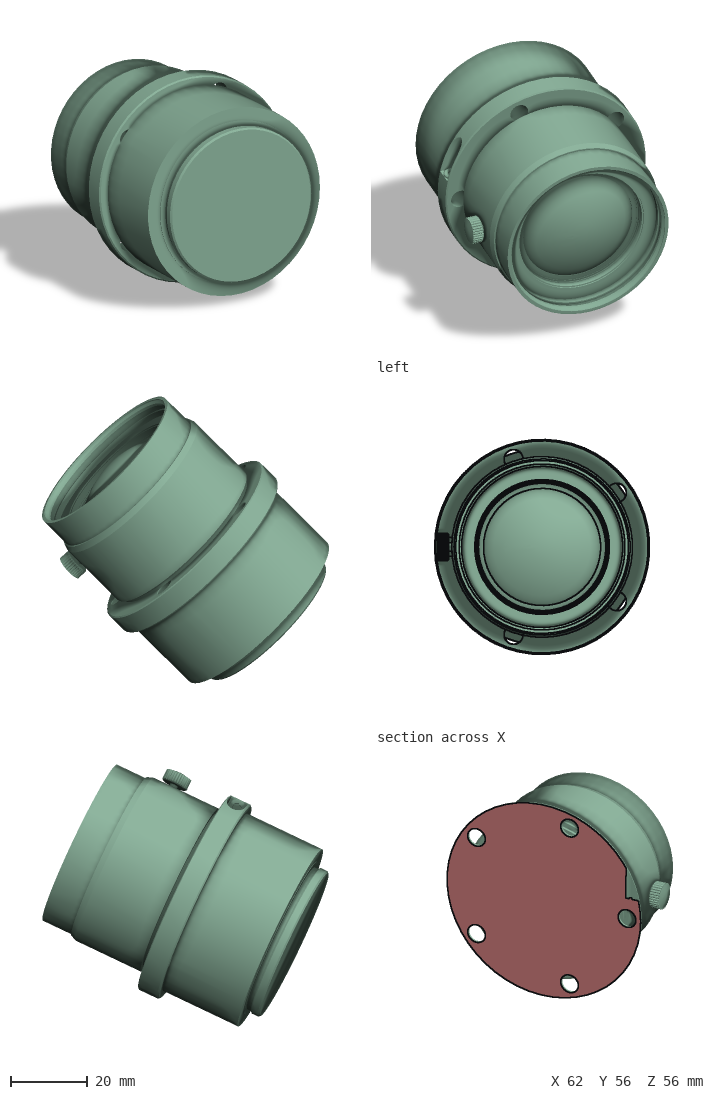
import cadquery as cq
import math


total_length = 62
front_tube_diameter = 45.0
front_tube_end = 8.55
taper_start_radius = 22.95
taper_end = 10.2
barrel_diameter = 47.05
barrel_end = 28.9
collar_diameter = 44.3
collar_end = 29.65
seat_diameter = 45.0
flange_diameter = 56.0
flange_front = 30.2
flange_back = 36.3
flange_bevel = 0.4
flange_front_bevel_width = 0.25
body_diameter = 51.1
body_end = 58.0
body_lip_diameter = 44
body_lip_width = 0.2
relief_diameter = 40.9
thread_front = 59.35
thread_diameter = 42.0
thread_bevel = 0.45

entry_diameter = 43.2
entry_depth = 0.3
filter_bore_diameter = 42.0
relief_groove_diameter = 43.2
relief_groove_start = 1.7
relief_groove_end = 3.4
filter_bore_depth = 4.95
retainer_gap_diameter = 35.1
retainer_face_depth = 5.3
retainer_diameter = 34.3
retainer_depth = 6.8
retainer_inner_diameter = 34.0
cell_face_depth = 7.25
cell_recess_diameter = 33.2
cell_recess_depth = 7.4
glass_diameter = 30.5
glass_edge_depth = 7.6
glass_apex_depth = 2.5

flange_hole_diameter = 4.95
flange_hole_circle_radius = 24.0
flange_hole_count = 5

screw_y = 25.0
screw_pocket_width = 5.1
screw_pocket_floor = 6.0
screw_head_diameter = 4.5
screw_head_height = 0.6
screw_head_bevel = 0.25
hex_across_flats = 2.1

knob_x = 15.45
knob_diameter = 7.1
knob_bottom = 24.4
knob_shoulder = 27.35
knob_top = 27.9
knob_bevel = 0.3
knob_stem_diameter = 2.25
knob_stem_root = 22.95
knob_tooth_count = 30
knob_tooth_depth = 0.25


def axis_plane(x):
    """Plane across the lens axis at a given X; local x is +Y and local y is +Z."""
    return cq.Workplane("YZ", origin=(x, 0, 0))


def make_lens():
    """Revolve the outer profile, the front opening and the glass as one closed outline."""
    flange_rim_radius = flange_diameter / 2 - flange_bevel
    thread_edge_radius = thread_diameter / 2 - thread_bevel
    entry_bevel = (entry_diameter - filter_bore_diameter) / 2
    glass_radius = glass_diameter / 2
    sag = glass_edge_depth - glass_apex_depth
    dome_radius = (glass_radius**2 + sag**2) / (2 * sag)
    half_angle = math.asin(glass_radius / dome_radius) / 2
    dome_mid = (
        glass_apex_depth + dome_radius * (1 - math.cos(half_angle)),
        dome_radius * math.sin(half_angle),
    )
    return (
        cq.Workplane("XY")
        .moveTo(glass_apex_depth, 0)
        .threePointArc(dome_mid, (glass_edge_depth, glass_radius))
        .lineTo(cell_recess_depth, glass_radius)
        .lineTo(cell_recess_depth, cell_recess_diameter / 2)
        .lineTo(cell_face_depth, cell_recess_diameter / 2)
        .lineTo(cell_face_depth, retainer_inner_diameter / 2)
        .lineTo(retainer_depth, retainer_inner_diameter / 2)
        .lineTo(retainer_depth, retainer_diameter / 2)
        .lineTo(retainer_face_depth, retainer_diameter / 2)
        .lineTo(retainer_face_depth, retainer_gap_diameter / 2)
        .lineTo(filter_bore_depth, retainer_gap_diameter / 2)
        .lineTo(filter_bore_depth, filter_bore_diameter / 2)
        .lineTo(relief_groove_end, filter_bore_diameter / 2)
        .lineTo(relief_groove_end, relief_groove_diameter / 2)
        .lineTo(relief_groove_start, relief_groove_diameter / 2)
        .lineTo(relief_groove_start, filter_bore_diameter / 2)
        .lineTo(entry_depth + entry_bevel, filter_bore_diameter / 2)
        .lineTo(entry_depth, entry_diameter / 2)
        .lineTo(0, entry_diameter / 2)
        .lineTo(0, front_tube_diameter / 2)
        .lineTo(front_tube_end, front_tube_diameter / 2)
        .lineTo(front_tube_end, taper_start_radius)
        .lineTo(taper_end, barrel_diameter / 2)
        .lineTo(barrel_end, barrel_diameter / 2)
        .lineTo(barrel_end, collar_diameter / 2)
        .lineTo(collar_end, collar_diameter / 2)
        .lineTo(flange_front, seat_diameter / 2)
        .lineTo(flange_front, flange_rim_radius)
        .lineTo(flange_front + flange_front_bevel_width, flange_diameter / 2)
        .lineTo(flange_back - flange_bevel, flange_diameter / 2)
        .lineTo(flange_back, flange_rim_radius)
        .lineTo(flange_back, body_diameter / 2)
        .lineTo(body_end, body_diameter / 2)
        .lineTo(body_end, body_lip_diameter / 2)
        .lineTo(body_end + body_lip_width, body_lip_diameter / 2)
        .lineTo(body_end + body_lip_width, relief_diameter / 2)
        .lineTo(thread_front, relief_diameter / 2)
        .lineTo(thread_front, thread_edge_radius)
        .lineTo(thread_front + thread_bevel, thread_diameter / 2)
        .lineTo(total_length - thread_bevel, thread_diameter / 2)
        .lineTo(total_length, thread_edge_radius)
        .lineTo(total_length, 0)
        .close()
        .revolve(360, (0, 0, 0), (1, 0, 0))
    )


def make_flange_holes():
    """Ring of holes through the flange; the first of them lies on the +Y side."""
    return (
        axis_plane(flange_front)
        .polarArray(flange_hole_circle_radius, 0, 360, flange_hole_count)
        .circle(flange_hole_diameter / 2)
        .extrude(flange_back - flange_front)
    )


def make_screw_pocket():
    """Round-ended pocket, open to the +Y side, sunk into the flange from above."""
    outer_reach = flange_diameter / 2
    middle = cq.Workplane("XY", origin=((flange_front + flange_back) / 2, screw_y, screw_pocket_floor))
    rounded_end = middle.circle(screw_pocket_width / 2).extrude(outer_reach)
    outer_half = middle.center(0, outer_reach / 2).rect(screw_pocket_width, outer_reach).extrude(outer_reach)
    return rounded_end.union(outer_half)


def make_screw_head():
    """Socket head standing on the pocket floor."""
    middle = cq.Workplane("XY", origin=((flange_front + flange_back) / 2, screw_y, screw_pocket_floor))
    head = middle.circle(screw_head_diameter / 2).extrude(screw_head_height)
    head = head.faces(">Z").chamfer(screw_head_bevel)
    socket = (
        middle.transformed(rotate=(0, 0, 90))
        .polygon(6, hex_across_flats / math.cos(math.pi / 6))
        .extrude(screw_head_height)
    )
    return head.cut(socket)


def make_knob():
    """Locking knob with its stem, turned about a radial +Y axis and then knurled."""
    rim = knob_diameter / 2
    stem = knob_stem_diameter / 2
    dome_rim = rim - knob_tooth_depth
    dome_height = knob_top - knob_shoulder
    dome_radius = (dome_rim**2 + dome_height**2) / (2 * dome_height)
    half_angle = math.asin(dome_rim / dome_radius) / 2
    dome_mid = (
        dome_radius * math.sin(half_angle),
        knob_top - dome_radius * (1 - math.cos(half_angle)),
    )
    knob = (
        cq.Workplane("XY", origin=(knob_x, 0, 0))
        .moveTo(0, knob_stem_root)
        .lineTo(stem, knob_stem_root)
        .lineTo(stem, knob_bottom)
        .lineTo(rim - knob_bevel, knob_bottom)
        .lineTo(rim, knob_bottom + knob_bevel)
        .lineTo(rim, knob_shoulder)
        .lineTo(dome_rim, knob_shoulder)
        .threePointArc(dome_mid, (0, knob_top))
        .close()
        .revolve(360, (0, 0, 0), (0, 1, 0))
    )
    notch_half_width = math.pi * rim / knob_tooth_count
    notch = (
        cq.Workplane("XZ", origin=(knob_x, knob_bottom, 0))
        .moveTo(rim - knob_tooth_depth, 0)
        .lineTo(rim + knob_tooth_depth, notch_half_width)
        .lineTo(rim + knob_tooth_depth, -notch_half_width)
        .close()
        .extrude(knob_bottom - knob_top)
    )
    for tooth in range(knob_tooth_count):
        angle = tooth * 360 / knob_tooth_count
        knob = knob.cut(notch.rotate((knob_x, 0, 0), (knob_x, 1, 0), angle))
    return knob


result = (
    make_lens()
    .cut(make_flange_holes())
    .cut(make_screw_pocket())
    .union(make_screw_head())
    .union(make_knob())
)